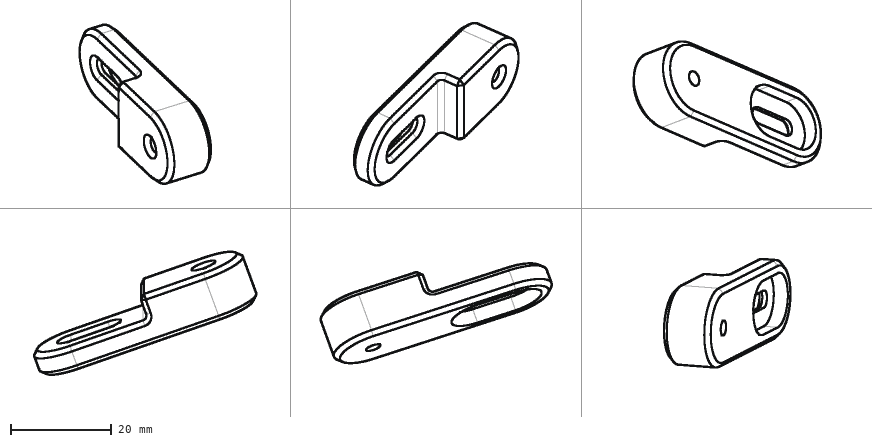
import cadquery as cq

length = 46.0
width = 16.0
block_thickness = 10.0
plate_thickness = 5.0

step_from_left_end = 24.43
step_fillet = 1.0
edge_chamfer = 1.0

slot_width = 3.5
slot_travel = 8.0
hole_diameter = 3.0
countersink = 1.0

recess_width = 11.0
recess_depth = 3.0

end_centre_x = (length - width) / 2
step_x = step_from_left_end - length / 2
plate_front_y = -plate_thickness
block_front_y = -block_thickness
slot_centre_x = -end_centre_x + slot_travel / 2


def make_body():
    """Round-ended bar, thinned to a plate left of the step, with bevelled rims."""
    body = cq.Workplane("XZ").slot2D(length, width).extrude(block_thickness)
    relief = cq.Workplane("XY").box(
        step_x + length / 2,
        block_thickness - plate_thickness,
        width,
        centered=False,
    )
    body = body.cut(relief.translate((-length / 2, block_front_y, -width / 2)))

    inner_corner = cq.selectors.NearestToPointSelector((step_x, plate_front_y, 0))
    body = body.edges("|Z").edges(inner_corner).fillet(step_fillet)

    step_edge = body.faces("<Y").edges("|Z")
    rims = body.edges("not (|Y or |Z)")
    step_sides = body.edges("|Y").edges(
        cq.selectors.BoxSelector(
            (step_x - step_fillet, block_front_y, -width),
            (step_x + step_fillet, plate_front_y, width),
        )
    )
    return rims.add(step_edge).add(step_sides).chamfer(edge_chamfer)


def prism(centre_x, face_y, depth, travel, opening, taper=0):
    """Round-ended solid from face_y towards +Y; a plain round one if travel is zero."""
    profile = cq.Workplane("XZ", origin=(centre_x, face_y, 0))
    if travel == 0:
        profile = profile.circle(opening / 2)
    else:
        profile = profile.slot2D(travel + opening, opening)
    return profile.extrude(-depth, taper=taper)


def countersunk_opening(centre_x, face_y, travel, opening):
    """Cutter running from face_y through to the back, with a 45 degree countersink."""
    through = prism(centre_x, face_y, -face_y, travel, opening)
    flare_width = opening + 2 * countersink
    flare = prism(centre_x, face_y, countersink, travel, flare_width, taper=45)
    return through.union(flare)


slot = countersunk_opening(slot_centre_x, plate_front_y, slot_travel, slot_width)
hole = countersunk_opening(end_centre_x, block_front_y, 0, hole_diameter)
recess = prism(slot_centre_x, -recess_depth, recess_depth, slot_travel, recess_width)

result = make_body().cut(slot).cut(hole).cut(recess)